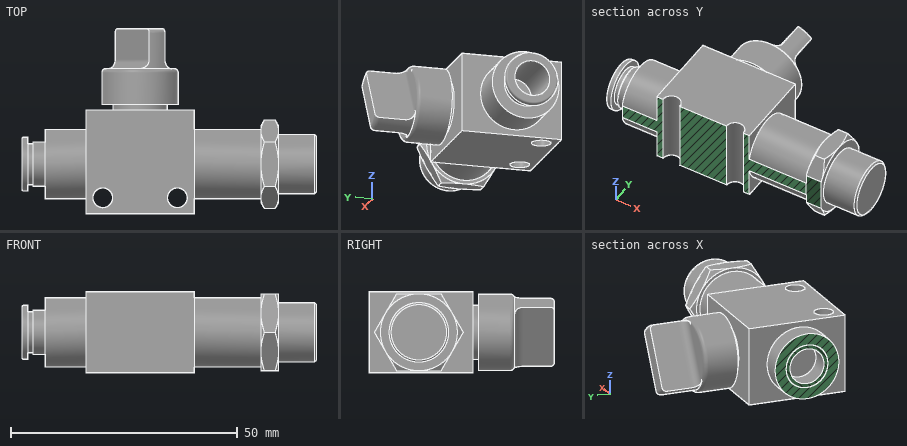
import cadquery as cq
import math

total_length = 65.2

block_start = 14.15
block_length = 24.0
block_height = 18.0
block_front = -11.0
block_back = 12.0
block_centre = block_start + block_length / 2
barrel_diameter = 15.4
barrel_start = 5.15
barrel_end = 52.9

mount_hole_diameter = 4.3
mount_hole_spacing = 16.5
mount_hole_y = -7.45

bore_diameter = 8.0
sleeve_diameter = 9.85
flange_diameter = 12.0
flange_length = 1.3
flange_edge_radius = 0.45
groove_diameter = 9.1
groove_end = 2.4

nut_length = 3.9
nut_across_flats = 17.0
nut_across_corners = nut_across_flats / math.cos(math.radians(30))
nut_bevel_angle = 30
spigot_diameter = 13.2
spigot_chamfer = 0.45

stem_diameter = 12.05
disc_start = 13.2
disc_end = 21.2
disc_diameter = 16.95
knob_end = 30.0
knob_edge_radius = 1.0
grip_diameter = 15.65
grip_thickness = 4.05
grip_root_radius = 1.95
grip_angle = 30


def cylinder_x(diameter, start, end):
    """Cylinder on the flow axis, from x = start to x = end."""
    return cq.Workplane("YZ", origin=(start, 0, 0)).circle(diameter / 2).extrude(end - start)


def cylinder_y(diameter, start, end):
    """Cylinder on the knob axis, from y = start to y = end."""
    plane = cq.Workplane("XZ", origin=(block_centre, start, 0))
    return plane.circle(diameter / 2).extrude(start - end)


def make_housing():
    block = cq.Workplane("XY").box(
        block_length, block_back - block_front, block_height, centered=(False, False, True)
    )
    block = block.translate((block_start, block_front, 0))
    housing = block.union(cylinder_x(barrel_diameter, barrel_start, barrel_end))
    mount_holes = (
        cq.Workplane("XY", origin=(block_centre, mount_hole_y, -block_height / 2))
        .rarray(mount_hole_spacing, 0.65, 2, 1)
        .circle(mount_hole_diameter / 2)
        .extrude(block_height)
    )
    sleeve_seat = cylinder_x(sleeve_diameter, barrel_start, block_start)
    return housing.cut(mount_holes).cut(sleeve_seat)


def make_sleeve():
    flange = cylinder_x(flange_diameter, 0, flange_length)
    flange = flange.faces("<X").edges().fillet(flange_edge_radius)
    groove = cylinder_x(groove_diameter, flange_length, groove_end)
    tube = cylinder_x(sleeve_diameter, groove_end, block_start)
    bore = cylinder_x(bore_diameter, 0, block_start)
    return flange.union(groove).union(tube).cut(bore)


def make_nut():
    """Hex nut with corners on the Y axis, bevelled conically on both faces."""
    hexagon = (
        cq.Workplane("YZ", origin=(barrel_end, 0, 0))
        .polygon(6, nut_across_corners)
        .extrude(nut_length)
    )
    bevel_width = (nut_across_corners - nut_across_flats) / 2
    bevel_depth = bevel_width * math.tan(math.radians(nut_bevel_angle))
    bevel_blank = (
        cylinder_x(nut_across_corners, barrel_end, barrel_end + nut_length)
        .faces("<X or >X")
        .edges()
        .chamfer(bevel_depth, bevel_width)
    )
    return hexagon.intersect(bevel_blank)


def make_adapter():
    spigot = cylinder_x(spigot_diameter, barrel_end + nut_length, total_length)
    spigot = spigot.faces(">X").edges().chamfer(spigot_chamfer)
    return make_nut().union(spigot)


def make_grip():
    """Flat grip with concave roots, trimmed by a round-edged cylinder."""
    half = grip_thickness / 2
    root_half = half + grip_root_radius
    root_top = disc_end + grip_root_radius
    arc_inset = grip_root_radius * (1 - math.sqrt(0.5))
    slab = (
        cq.Workplane("XY", origin=(0, 0, -grip_diameter / 2))
        .moveTo(-half, knob_end)
        .lineTo(half, knob_end)
        .lineTo(half, root_top)
        .threePointArc((half + arc_inset, disc_end + arc_inset), (root_half, disc_end))
        .lineTo(root_half, disc_start)
        .lineTo(-root_half, disc_start)
        .lineTo(-root_half, disc_end)
        .threePointArc((-half - arc_inset, disc_end + arc_inset), (-half, root_top))
        .close()
        .extrude(grip_diameter)
        .rotate((0, 0, 0), (0, 1, 0), grip_angle)
        .translate((block_centre, 0, 0))
    )
    envelope = cylinder_y(grip_diameter, disc_start, knob_end)
    envelope = envelope.faces(">Y").edges().fillet(knob_edge_radius)
    return slab.intersect(envelope)


def make_knob():
    stem = cylinder_y(stem_diameter, block_back, disc_start)
    disc = cylinder_y(disc_diameter, disc_start, disc_end)
    disc = disc.faces(">Y").edges().fillet(knob_edge_radius)
    return stem.union(disc).union(make_grip())


housing = make_housing()
sleeve = make_sleeve()
adapter = make_adapter()
knob = make_knob()

bodies = [housing, sleeve, adapter, knob]
result = cq.Compound.makeCompound([body.solids().val() for body in bodies])